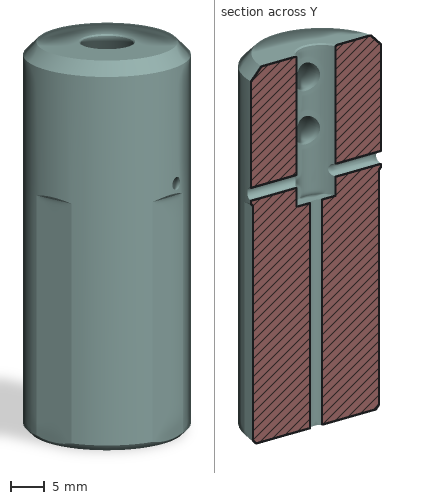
import cadquery as cq
import math

height = 60.0
body_diameter = 25.0
body_radius = body_diameter / 2
top_chamfer = 2.0
bottom_chamfer = 1.0

flat_width = 6.95
flat_distance = math.sqrt(body_radius**2 - (flat_width / 2) ** 2)
flat_top = 38.1
flat_count = 4

bore_diameter = 8.0
bore_depth = 24.0
bore_mouth_diameter = 8.4
bore_mouth_chamfer = (bore_mouth_diameter - bore_diameter) / 2
through_diameter = 3.7

screw_diameter = 4.5
screw_depths = (5.0, 13.5)

pin_diameter = 2.0
pin_offset = 1.5
pin_depth = 20.0


def make_body():
    body = cq.Workplane("XY").circle(body_radius).extrude(height)
    body = body.faces(">Z").chamfer(top_chamfer)
    return body.faces("<Z").chamfer(bottom_chamfer)


def make_flat_cutter():
    """Block outside the -Y flat, with a sloped upper end."""
    clearance = 0.6
    outer = body_radius + clearance
    slope_top = flat_top + outer - flat_distance
    return (
        cq.Workplane("YZ")
        .moveTo(-flat_distance, -clearance)
        .lineTo(-flat_distance, flat_top)
        .lineTo(-outer, slope_top)
        .lineTo(-outer, -clearance)
        .close()
        .extrude(body_radius, both=True)
    )


def cut_bore(body):
    body = body.faces(">Z").workplane().cboreHole(through_diameter, bore_diameter, bore_depth)
    mouth_edge = cq.selectors.RadiusNthSelector(0)
    return body.faces(">Z").edges(mouth_edge).chamfer(bore_mouth_chamfer)


def make_screw_hole(depth):
    screw_height = height - depth
    return (
        cq.Workplane("XZ")
        .center(0, screw_height)
        .circle(screw_diameter / 2)
        .extrude(-body_radius)
    )


def make_pin_hole():
    return (
        cq.Workplane("YZ")
        .center(pin_offset, height - pin_depth)
        .circle(pin_diameter / 2)
        .extrude(body_radius, both=True)
    )


result = make_body()

flat_cutter = make_flat_cutter()
for index in range(flat_count):
    angle = index * 360 / flat_count
    result = result.cut(flat_cutter.rotate((0, 0, 0), (0, 0, 1), angle))

result = cut_bore(result)

for screw_depth in screw_depths:
    result = result.cut(make_screw_hole(screw_depth))

result = result.cut(make_pin_hole())